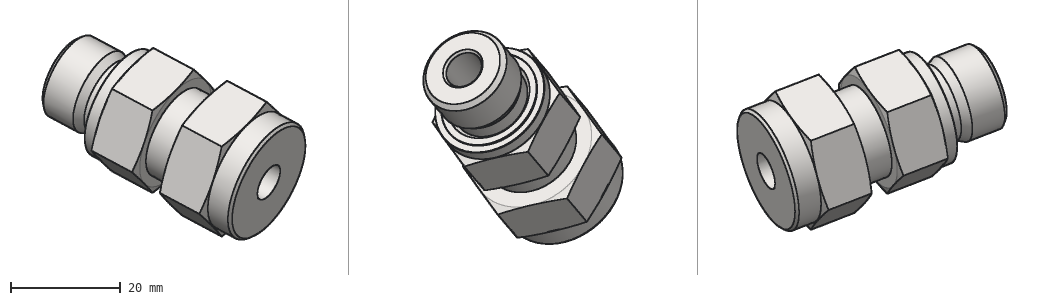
import cadquery as cq
import math


thread_end = 7.6
undercut_start = 9.35
seal_lip_start = 11.65
flange_start = 12.0
undercut_end = 12.48
body_hex_start = 14.5
body_hex_length = 10.05
body_hex_end = body_hex_start + body_hex_length
nut_start = 30.7
nut_hex_length = 9.9
nut_hex_end = nut_start + nut_hex_length
total_length = 45.7

thread_radius = 8.3
undercut_radius = 7.35
seal_lip_radius = 9.5
lip_mouth_radius = 8.15
flange_radius = 10.9
neck_radius = 9.0
collar_radius = 11.9
bore_radius = 3.5

body_flats = 22.0
nut_flats = 24.0

stud_chamfer = 0.9
bore_chamfer = 0.45
flange_chamfer = 0.1
collar_chamfer = 0.55
hex_chamfer_angle = 15.0
hex_sides = 6


def cylinder(start, end, radius):
    """Round bar along X between two positions."""
    return cq.Workplane("YZ", origin=(start, 0, 0)).circle(radius).extrude(end - start)


def revolve_about_x(points):
    """Closed outline of (x, radius) points turned about the X axis."""
    return cq.Workplane("XY").polyline(points).close().revolve(360, (0, 0, 0), (1, 0, 0))


def chamfered_hexagon(start, length, flats):
    """Hexagonal bar along X, corners on +Y and -Y, turned to a cone at both ends."""
    corner_radius = flats / 2 / math.cos(math.pi / hex_sides)
    face_radius = flats / 2
    depth = (corner_radius - face_radius) * math.tan(math.radians(hex_chamfer_angle))
    end = start + length
    bar = cq.Workplane("YZ", origin=(start, 0, 0)).polygon(hex_sides, 2 * corner_radius).extrude(length)
    envelope = revolve_about_x([
        (start, 0),
        (start, face_radius),
        (start + depth, corner_radius),
        (end - depth, corner_radius),
        (end, face_radius),
        (end, 0),
    ])
    return bar.intersect(envelope)


def make_stud_body():
    """Threaded stud, undercut, countersunk seal lip, flange, hexagon and neck, bored right through."""
    stud = revolve_about_x([
        (0, 0),
        (0, thread_radius - stud_chamfer),
        (stud_chamfer, thread_radius),
        (thread_end, thread_radius),
        (undercut_start, undercut_radius),
        (undercut_end, undercut_radius),
        (seal_lip_start, lip_mouth_radius),
        (seal_lip_start, seal_lip_radius),
        (flange_start, seal_lip_radius),
        (flange_start, flange_radius - flange_chamfer),
        (flange_start + flange_chamfer, flange_radius),
        (body_hex_start, flange_radius),
        (body_hex_start, 0),
    ])
    hexagon = chamfered_hexagon(body_hex_start, body_hex_length, body_flats)
    neck = cylinder(body_hex_end, nut_hex_end, neck_radius)
    bore = cylinder(0, nut_hex_end, bore_radius)
    bore_mouth = revolve_about_x([
        (0, 0),
        (0, bore_radius + bore_chamfer),
        (bore_chamfer, bore_radius),
        (bore_chamfer, 0),
    ])
    return stud.union(hexagon).union(neck).cut(bore).cut(bore_mouth)


def make_union_nut():
    """Hexagon with a round collar, holding the neck in a recess that ends at the collar."""
    hexagon = chamfered_hexagon(nut_start, nut_hex_length, nut_flats)
    collar = cylinder(nut_hex_end, total_length, collar_radius).faces(">X").chamfer(collar_chamfer)
    neck_recess = cylinder(nut_start, nut_hex_end, neck_radius)
    bore = cylinder(nut_hex_end, total_length, bore_radius)
    return hexagon.union(collar).cut(neck_recess).cut(bore)


stud_body = make_stud_body()
union_nut = make_union_nut()

result = cq.Compound.makeCompound([stud_body.val(), union_nut.val()])